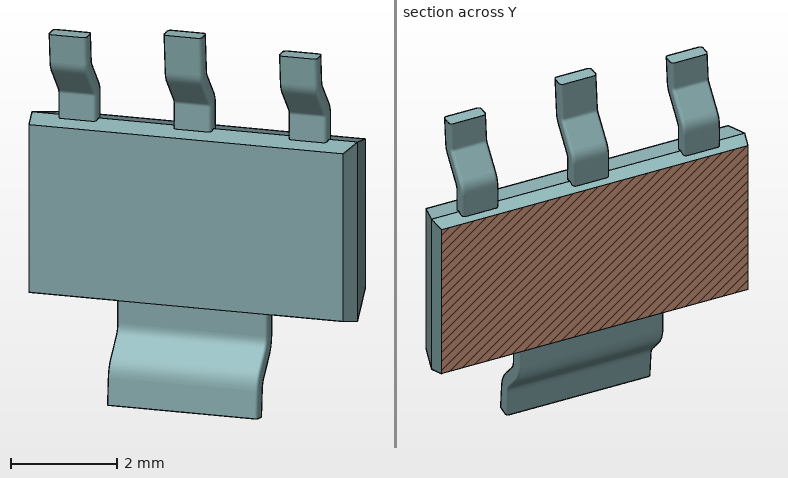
import cadquery as cq
import math

BODY_WIDTH = 6.5
BODY_HEIGHT = 3.5
BODY_CENTER_Z = -0.03
BACK_DEPTH = 1.31
FRONT_DEPTH = 0.495
DRAFT_ANGLE = 13.0

STRIP_THICKNESS = 0.3
SLANT_ANGLE = 41.0
FOOT_ANGLE = 5.0

LEAD_WIDTH = 0.76
LEAD_PITCH = 2.3
LEAD_EDGE_RADIUS = 0.07
LEAD_BEND_START = 2.175
LEAD_SLANT_LENGTH = 0.575
LEAD_INNER_RADIUS = 0.1
MIDDLE_LEAD_REACH = 3.685
SIDE_LEAD_REACH = 3.485

TAB_WIDTH = 3.0
TAB_EDGE_RADIUS = 0.05
TAB_BEND_START = 2.21
TAB_SLANT_LENGTH = 0.45
TAB_INNER_RADIUS = 0.33
TAB_REACH = 3.685


def body_half(depth):
    """Frustum from the parting plane to a face at the signed distance depth towards -Y."""
    half = cq.Workplane("XZ", origin=(0, 0, BODY_CENTER_Z)).rect(BODY_WIDTH, BODY_HEIGHT)
    return half.extrude(depth, taper=DRAFT_ANGLE)


def bent_strip(width, edge_radius, bend_start, slant_length, inner_radius, reach):
    """Strip rising from Z = 0 that steps towards -Y in two opposite bends and ends at Z = reach."""
    slant = math.radians(SLANT_ANGLE)
    foot = math.radians(FOOT_ANGLE)
    bend_radius = inner_radius + STRIP_THICKNESS / 2

    bend_end = (
        -bend_radius * (1 - math.cos(slant)),
        bend_start + bend_radius * math.sin(slant),
    )
    slant_end = (
        bend_end[0] - slant_length * math.sin(slant),
        bend_end[1] + slant_length * math.cos(slant),
    )
    foot_start = (
        slant_end[0] - bend_radius * (math.cos(foot) - math.cos(slant)),
        slant_end[1] + bend_radius * (math.sin(slant) - math.sin(foot)),
    )
    tip_z = reach - STRIP_THICKNESS / 2 * math.sin(foot)
    tip = (foot_start[0] - (tip_z - foot_start[1]) * math.tan(foot), tip_z)

    centreline = (
        cq.Workplane("YZ")
        .moveTo(0, 0)
        .lineTo(0, bend_start)
        .tangentArcPoint(bend_end, relative=False)
        .lineTo(*slant_end)
        .tangentArcPoint(foot_start, relative=False)
        .lineTo(*tip)
    )
    section = cq.Sketch().rect(width, STRIP_THICKNESS).vertices().fillet(edge_radius)
    return cq.Workplane("XY").placeSketch(section).sweep(centreline)


def lead(x, reach):
    """Narrow strip centred at x whose highest corner is at Z = reach."""
    strip = bent_strip(
        LEAD_WIDTH, LEAD_EDGE_RADIUS, LEAD_BEND_START, LEAD_SLANT_LENGTH, LEAD_INNER_RADIUS, reach
    )
    return strip.translate((x, 0, 0))


def tab():
    """Wide strip built upright and mirrored to point downwards."""
    strip = bent_strip(
        TAB_WIDTH, TAB_EDGE_RADIUS, TAB_BEND_START, TAB_SLANT_LENGTH, TAB_INNER_RADIUS, TAB_REACH
    )
    return strip.mirror("XY")


result = body_half(FRONT_DEPTH).union(body_half(-BACK_DEPTH))
for lead_x, lead_reach in (
    (-LEAD_PITCH, SIDE_LEAD_REACH),
    (0, MIDDLE_LEAD_REACH),
    (LEAD_PITCH, SIDE_LEAD_REACH),
):
    result = result.union(lead(lead_x, lead_reach))
result = result.union(tab())